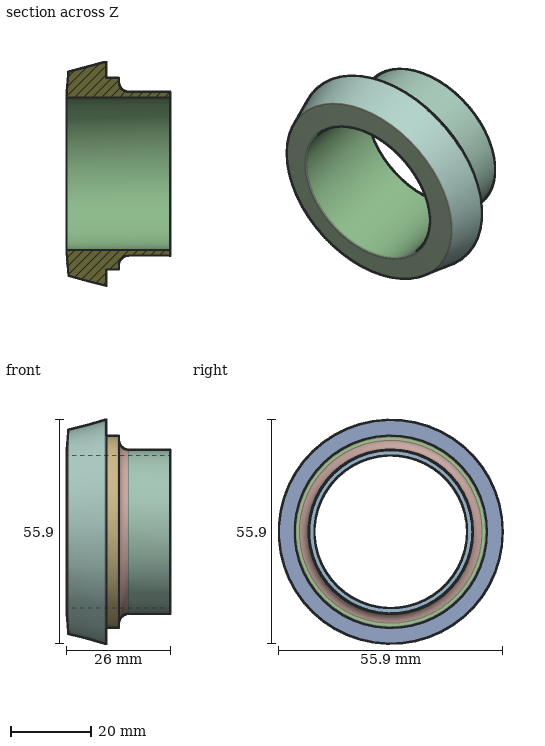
import cadquery as cq
import math

length = 26.0
face_edge_x = 0.5
flange_back = 10.0
collar_end = 13.2

rim_radius = 27.95
collar_radius = 24.0
tube_radius = 20.5
bore_radius = 19.0
lip_radius = 19.45

flank_angle = math.radians(15)
rim_land = 0.35

mouth_fillet = 0.15
face_fillet = 0.15
root_fillet = 0.15
collar_fillet = 0.35
cove_radius = 2.3
tube_end_chamfer = 0.15

land_start = flange_back - rim_land
face_edge_radius = rim_radius - (land_start - face_edge_x) * math.tan(flank_angle)
face_angle = math.atan2(face_edge_x, face_edge_radius - lip_radius)

corner_turn = math.pi / 2 - face_angle - flank_angle
corner_trim = face_fillet * math.tan(corner_turn / 2)
face_tangent = (
    face_edge_x - corner_trim * math.sin(face_angle),
    face_edge_radius - corner_trim * math.cos(face_angle),
)
flank_tangent = (
    face_edge_x + corner_trim * math.cos(flank_angle),
    face_edge_radius + corner_trim * math.sin(flank_angle),
)

half_section = (
    cq.Workplane("XY")
    .moveTo(mouth_fillet, bore_radius)
    .radiusArc((0, bore_radius + mouth_fillet), mouth_fillet)
    .lineTo(0, lip_radius)
    .lineTo(*face_tangent)
    .radiusArc(flank_tangent, face_fillet)
    .lineTo(land_start, rim_radius)
    .lineTo(flange_back, rim_radius)
    .lineTo(flange_back, collar_radius + root_fillet)
    .radiusArc((flange_back + root_fillet, collar_radius), -root_fillet)
    .lineTo(collar_end - collar_fillet, collar_radius)
    .radiusArc((collar_end, collar_radius - collar_fillet), collar_fillet)
    .lineTo(collar_end, tube_radius + cove_radius)
    .radiusArc((collar_end + cove_radius, tube_radius), -cove_radius)
    .lineTo(length - tube_end_chamfer, tube_radius)
    .lineTo(length, tube_radius - tube_end_chamfer)
    .lineTo(length, bore_radius)
    .close()
)

result = half_section.revolve(360, (0, 0, 0), (1, 0, 0))